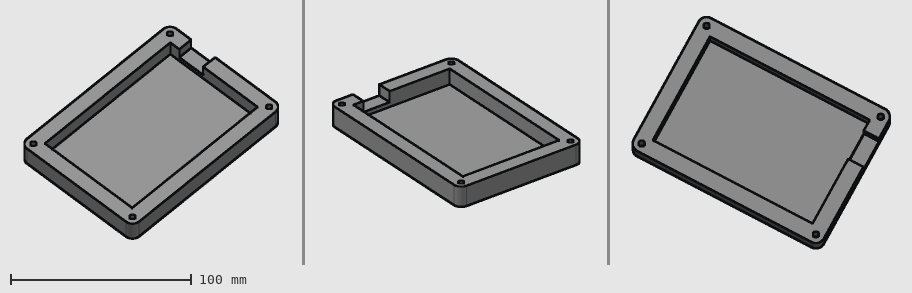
import cadquery as cq

width = 86.0
length = 119.5
height = 13.0
corner_radius = 5.0

wall = 9.6
floor_thickness = 3.0
pocket_width = width - 2 * wall
pocket_length = length - 2 * wall

notch_left = -width / 2 + 16.5
notch_width = 18.3
notch_floor = 6.0

hole_diameter = 3.3
hole_spacing_x = width - 2 * corner_radius
hole_spacing_y = length - 2 * corner_radius


def make_body():
    body = cq.Workplane("XY").box(width, length, height, centered=(True, True, False))
    return body.edges("|Z").fillet(corner_radius)


def make_pocket():
    pocket = cq.Workplane("XY").workplane(offset=floor_thickness)
    return pocket.rect(pocket_width, pocket_length).extrude(height - floor_thickness)


def make_notch():
    notch = cq.Workplane("XY").box(notch_width, wall, height - notch_floor, centered=False)
    return notch.translate((notch_left, length / 2 - wall, notch_floor))


def make_screw_holes():
    holes = cq.Workplane("XY").rect(hole_spacing_x, hole_spacing_y, forConstruction=True).vertices()
    return holes.circle(hole_diameter / 2).extrude(height)


result = make_body().cut(make_pocket()).cut(make_notch()).cut(make_screw_holes())